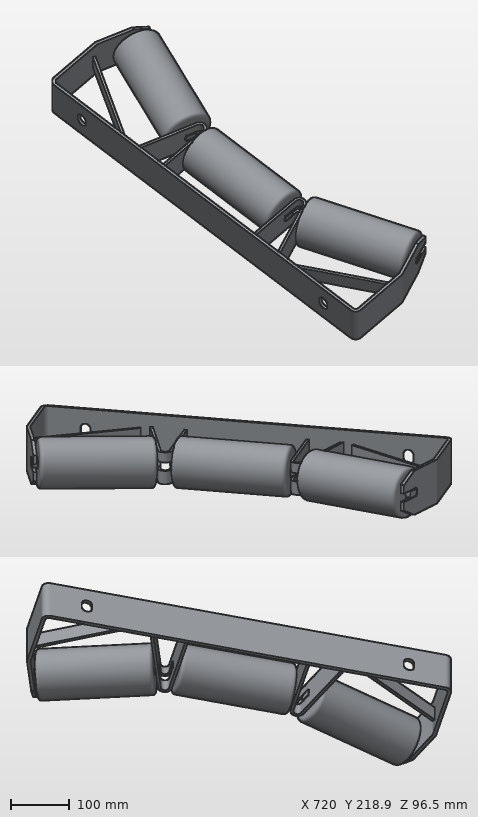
import cadquery as cq
import math

frame_length = 720.0
strip_height = 80.0
frame_sheet = 6.0
frame_bend_radius = 12.0
bend_height = 115.0
end_height = 211.0
end_lean = 20.0
end_chamfer_run = 30.0
end_chamfer_rise = 17.0
mount_hole_spacing = 567.0
mount_hole_width = 18.0
mount_hole_height = 27.0
mid_height = strip_height / 2

hairpin_height = 57.5
hairpin_sheet = 5.0
hairpin_radius = 12.0
hairpin_face_x = 104.5
hairpin_top = 129.0

roller_radius = 45.0
roller_length = 201.5
roller_fillet = 6.5
shaft_radius = 10.0
shaft_flats = 12.0
shoulder_length = 207.0
shaft_length = 220.0
centre_roller_y = 99.0
side_roller_x = 231.0
side_roller_y = 144.0
low_shaft_z = 32.0
high_shaft_z = 39.0
side_roller_z = (high_shaft_z + low_shaft_z) / 2
side_roller_slope = math.degrees(math.asin((high_shaft_z - low_shaft_z) / shaft_length))

slot_width = 15.0
slot_clearance = 0.9
seat_radius = shaft_radius + slot_clearance
slot_reach = 72.0
slot_depth = 29.0

brace_sheet = 5.0
brace_angle = 30.0
brace_wall_y = 102.0
brace_width = 30.0

lean_sin = math.sin(math.radians(end_lean))
lean_cos = math.cos(math.radians(end_lean))


def mirrored(body):
    """Copy of a left-hand body on the right-hand side."""
    return body.mirror("YZ")


def rod(radius, length):
    """Cylinder along X, centred on the origin."""
    return cq.Workplane("YZ", origin=(-length / 2, 0, 0)).circle(radius).extrude(length)


def at_left_roller(body):
    """Turn a body from the X axis onto the axis line of the left roller, without its slope."""
    return body.rotate((0, 0, 0), (0, 0, 1), -end_lean).translate((-side_roller_x, side_roller_y, 0))


def shaft_slot(middle_x, middle_z):
    """Cutter for a slot open towards +Y, with a round seat for a shaft that lies along X."""
    seat = rod(seat_radius, slot_depth)
    throat = cq.Workplane("XY").box(slot_depth, slot_reach, slot_width).translate((0, slot_reach / 2, 0))
    flats = cq.Workplane("XY").box(slot_depth, 2 * seat_radius, slot_width)
    return seat.intersect(flats).union(throat).translate((middle_x, 0, middle_z))


def end_silhouette():
    """Strip outline across its width, with both corners of the free end cut off."""
    return (
        cq.Workplane("YZ")
        .polyline([
            (0, 0),
            (end_height - end_chamfer_run, 0),
            (end_height, end_chamfer_rise),
            (end_height, strip_height - end_chamfer_rise),
            (end_height - end_chamfer_run, strip_height),
            (0, strip_height),
        ])
        .close()
        .extrude(-frame_length / 2)
    )


def make_left_frame():
    """Half of the frame: base, wall and leaning end."""
    outer_x = -frame_length / 2
    inner_x = outer_x + frame_sheet
    inner_bend_y = bend_height - frame_sheet * math.tan(math.radians(end_lean / 2))
    end_length = (end_height - bend_height) / lean_cos
    tip_x = outer_x + end_length * lean_sin
    half = (
        cq.Workplane("XY")
        .polyline([
            (0, 0),
            (outer_x, 0),
            (outer_x, bend_height),
            (tip_x, end_height),
            (tip_x + frame_sheet * lean_cos, end_height - frame_sheet * lean_sin),
            (inner_x, inner_bend_y),
            (inner_x, frame_sheet),
            (0, frame_sheet),
        ])
        .close()
        .extrude(strip_height)
    )
    inner_radius = frame_bend_radius - frame_sheet
    bends = [
        (outer_x, 0, frame_bend_radius),
        (inner_x, frame_sheet, inner_radius),
        (outer_x, bend_height, frame_bend_radius),
        (inner_x, inner_bend_y, inner_radius),
    ]
    for x, y, radius in bends:
        corner = cq.selectors.NearestToPointSelector((x, y, mid_height))
        half = half.edges("|Z").edges(corner).fillet(radius)
    half = half.intersect(end_silhouette())
    end_x = -(shaft_length - frame_sheet) / 2
    return half.cut(at_left_roller(shaft_slot(end_x, mid_height)))


def make_frame():
    half = make_left_frame()
    frame = half.union(mirrored(half)).clean()
    holes = (
        cq.Workplane("XZ", origin=(0, 0, mid_height))
        .rarray(mount_hole_spacing, 7, 2, 1)
        .slot2D(mount_hole_height, mount_hole_width, 90)
        .extrude(-frame_sheet)
    )
    return frame.cut(holes)


def make_hairpin():
    """Left hairpin: one upright leg and one leaning leg joined by a round bend, standing on the base."""
    centre_x = -hairpin_face_x - hairpin_radius
    centre_y = hairpin_top - hairpin_radius
    lean_start = math.radians(180 - end_lean)
    bend_middle = lean_start / 2

    def bend_point(angle, radius):
        return (centre_x + radius * math.cos(angle), centre_y + radius * math.sin(angle))

    def foot(radius):
        x, y = bend_point(lean_start, radius)
        return (x - (y - frame_sheet) * math.tan(math.radians(end_lean)), frame_sheet)

    inner_radius = hairpin_radius - hairpin_sheet
    hairpin = (
        cq.Workplane("XY")
        .moveTo(centre_x + hairpin_radius, frame_sheet)
        .lineTo(*bend_point(0, hairpin_radius))
        .threePointArc(bend_point(bend_middle, hairpin_radius), bend_point(lean_start, hairpin_radius))
        .lineTo(*foot(hairpin_radius))
        .lineTo(*foot(inner_radius))
        .lineTo(*bend_point(lean_start, inner_radius))
        .threePointArc(bend_point(bend_middle, inner_radius), bend_point(0, inner_radius))
        .lineTo(centre_x + inner_radius, frame_sheet)
        .close()
        .extrude(hairpin_height)
    )
    seat_x = (shaft_length - hairpin_sheet) / 2
    upright_slot = shaft_slot(-seat_x, low_shaft_z).translate((0, centre_roller_y, 0))
    leaning_slot = at_left_roller(shaft_slot(seat_x, low_shaft_z))
    return hairpin.cut(upright_slot).cut(leaning_slot)


def make_brace():
    """Left brace: a square-ended flat bar whose lower edge spans from the wall to the base."""
    rise = brace_wall_y - frame_sheet
    length = rise / math.sin(math.radians(brace_angle))
    bar = cq.Workplane("XY").box(length, brace_sheet, brace_width, centered=(False, False, True))
    wall_x = -frame_length / 2 + frame_sheet
    return bar.rotate((0, 0, 0), (0, 0, 1), -brace_angle).translate((wall_x, brace_wall_y, mid_height))


def make_roller():
    """Roller with its shaft along X, centred on the origin."""
    drum = rod(roller_radius, roller_length).faces("<X or >X").edges().fillet(roller_fillet)
    shoulders = rod(shaft_radius, shoulder_length)
    flats = cq.Workplane("XY").box(shaft_length, 2 * shaft_radius, shaft_flats)
    shaft_ends = rod(shaft_radius, shaft_length).intersect(flats)
    return drum.union(shoulders).union(shaft_ends)


frame = make_frame()

left_hairpin = make_hairpin()
hairpins = [left_hairpin, mirrored(left_hairpin)]

left_brace = make_brace()
braces = [left_brace, mirrored(left_brace)]

roller = make_roller()
sloped_roller = roller.rotate((0, 0, 0), (0, 1, 0), side_roller_slope)
left_roller = at_left_roller(sloped_roller).translate((0, 0, side_roller_z))
centre_roller = roller.translate((0, centre_roller_y, low_shaft_z))
rollers = [left_roller, centre_roller, mirrored(left_roller)]

bodies = [frame, *hairpins, *braces, *rollers]
result = cq.Compound.makeCompound([body.solids().val() for body in bodies])